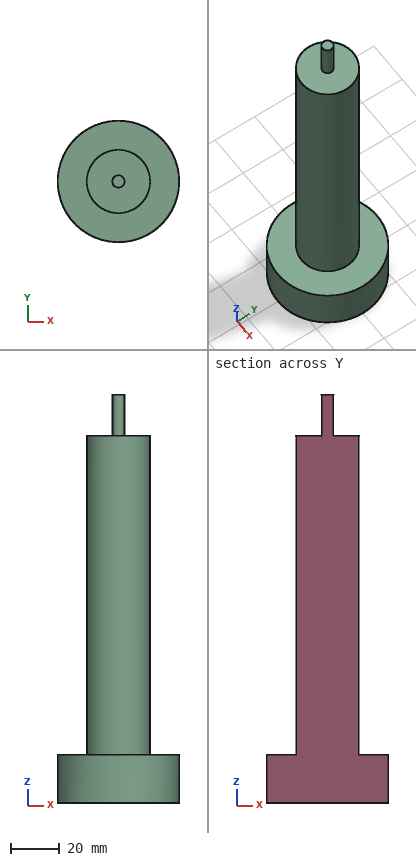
import cadquery as cq

total_height = 167.8
base_diameter = 50.0
base_height = 20.0
shaft_diameter = 26.0
pin_diameter = 5.0
pin_height = 16.8

shaft_height = total_height - base_height - pin_height

base = cq.Workplane("XY").circle(base_diameter / 2).extrude(base_height)
base_and_shaft = base.faces(">Z").workplane().circle(shaft_diameter / 2).extrude(shaft_height)
result = base_and_shaft.faces(">Z").workplane().circle(pin_diameter / 2).extrude(pin_height)